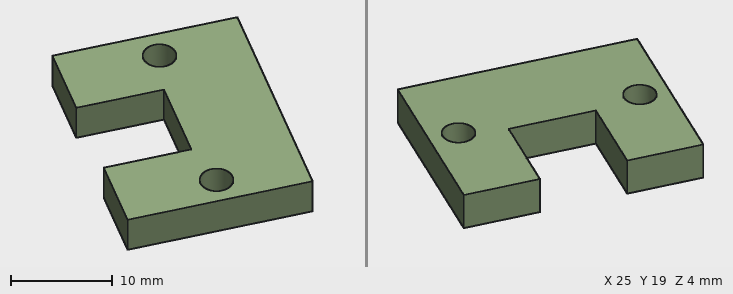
import cadquery as cq

length = 25.0
depth = 19.0
thickness = 4.0

slot_width = 9.1
slot_depth = 9.0

hole_diameter = 3.3
hole_spacing = 18.92
first_hole_x = 3.1
hole_y = 10.05

plate = cq.Workplane("XY").box(length, depth, thickness, centered=False)

slot = (
    cq.Workplane("XY")
    .box(slot_width, slot_depth, thickness, centered=False)
    .translate(((length - slot_width) / 2, 0, 0))
)

holes = (
    cq.Workplane("XY")
    .pushPoints([(x, hole_y) for x in (first_hole_x, first_hole_x + hole_spacing)])
    .circle(hole_diameter / 2)
    .extrude(thickness)
)

result = plate.cut(slot).cut(holes)